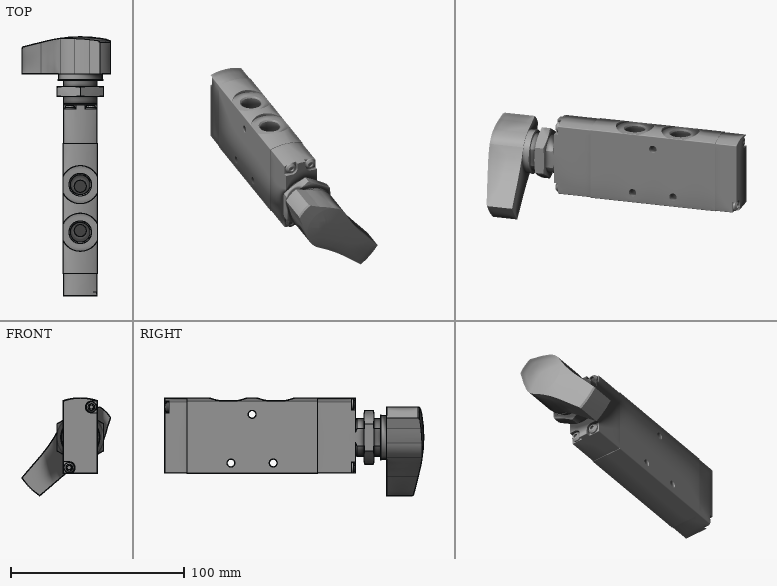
import cadquery as cq
import math


cover_length = 12.9
body_length = 75.3
rear_cover_length = 22.1
neck_length = 14.3
collar_length = 3.7
body_start = cover_length
body_end = body_start + body_length
rear_end = body_end + rear_cover_length
neck_end = rear_end + neck_length
knob_start = neck_end + collar_length
knob_peak = 149.8
body_middle = body_start + body_length / 2

body_width = 20.0
body_bottom = -20.95
body_crown = 22.85
crown_rise = 1.7
edge_round = 0.5
cover_inset = 0.25

port_spacing = 27.5
spotface_diameter = 22.0
port_diameter = 11.45
port_depth = 12.0
port_chamfer = 0.8
channel_diameter = 7.0
channel_depth = 8.0
channel_spacing = 25.6

mount_diameter = 4.4
mount_upper_z = 13.3
mount_lower_z = -14.85
mount_lower_spacing = 24.4

pocket_diameter = 6.8
pocket_depth = 2.4
head_diameter = 5.92
head_height = 2.1
head_chamfer = 1.0
socket_diameter = 2.46
socket_depth = 1.2
front_screw_x = 6.4
front_screw_z = 17.5
rear_screw_x = 6.0
rear_screw_top_z = 19.2
rear_screw_bottom_z = -17.6

neck_diameter = 22.0
neck_root_diameter = 20.38
neck_flats = 19.5
collar_diameter = 25.4
collar_lip_diameter = 26.0
collar_lip_length = 0.4
nut_across_flats = 27.0
nut_start = rear_end + 4.8
nut_thickness = 6.0
nut_bore_chamfer_diameter = 22.7
nut_bevel_angle = 15.0

lever_angle = 45.0
hub_radius = 13.2
short_end = (20.43, 4.45)
short_bend = (14.7, 7.3)
short_flank_bulge = 0.2
long_bend = (-23.6, 8.6)
long_end = (-40.48, 7.32)
hub_short_angle = 60.0
hub_long_angle = 106.0
dome_radius = 75.0
dome_edge_radius = 13.0
tip_chamfer = 0.8
rim_margin = 4.0


def disc(diameter, start, length, x=0.0, z=0.0):
    """Cylinder along +Y from the given Y station."""
    return (
        cq.Workplane("XZ", origin=(0, start, 0))
        .center(x, z)
        .circle(diameter / 2)
        .extrude(-length)
    )


def crowned_block(start, length, inset=0.0):
    """Block along Y with an arched top, shrunk all round by the inset."""
    half = body_width / 2 - inset
    crown = body_crown - inset
    bottom = body_bottom + inset
    shoulder = crown - crown_rise
    return (
        cq.Workplane("XZ", origin=(0, start, 0))
        .moveTo(-half, bottom)
        .lineTo(half, bottom)
        .lineTo(half, shoulder)
        .threePointArc((0, crown), (-half, shoulder))
        .close()
        .extrude(-length)
        .edges("|Y")
        .fillet(edge_round)
    )


def screw_pocket(x, z, floor, outward, open_vertically):
    """Round pocket that breaks out through the nearest side and, if asked, through the top or bottom."""
    reach = body_width
    side = math.copysign(1, x)
    up = math.copysign(1, z)
    depth = outward * pocket_depth
    plane = cq.Workplane("XZ", origin=(0, floor, 0))
    pocket = plane.center(x, z).circle(pocket_diameter / 2).extrude(-depth)
    slot = plane.center(x + side * reach / 2, z).rect(reach, pocket_diameter).extrude(-depth)
    pocket = pocket.union(slot)
    if open_vertically:
        well = plane.center(x, z + up * reach / 2).rect(pocket_diameter, reach).extrude(-depth)
        corner = plane.center(x + side * reach / 2, z + up * reach / 2).rect(reach, reach).extrude(-depth)
        pocket = pocket.union(well).union(corner)
    return pocket


def screw_head(x, z, floor, outward):
    """Bevelled screw head with a socket, standing on the pocket floor."""
    head = disc(head_diameter, floor, outward * head_height, x, z)
    head = head.faces("<Y" if outward < 0 else ">Y").chamfer(head_chamfer)
    socket_floor = floor + outward * (head_height - socket_depth)
    return head.cut(disc(socket_diameter, socket_floor, outward * socket_depth, x, z))


def add_screws(cover, places, floor, outward, open_vertically):
    """Cut a pocket at each place and stand a screw head in it, as part of the cover."""
    for x, z in places:
        cover = cover.cut(screw_pocket(x, z, floor, outward, open_vertically))
        cover = cover.union(screw_head(x, z, floor, outward))
    return cover


def make_body():
    """Valve body with two ports on top and three mounting holes across it."""
    body = crowned_block(body_start, body_length)
    seat_z = body_crown - crown_rise
    seat = cq.Workplane("XY", origin=(0, 0, seat_z))
    for side in (-1, 1):
        port_y = body_middle + side * port_spacing / 2
        channel_y = body_middle + side * channel_spacing / 2
        body = body.cut(seat.center(0, port_y).circle(spotface_diameter / 2).extrude(2 * crown_rise))
        port = seat.center(0, port_y).circle(port_diameter / 2).extrude(-port_depth)
        mouth = (
            seat.center(0, port_y)
            .circle(port_diameter / 2 + port_chamfer)
            .extrude(-port_chamfer, taper=45)
        )
        channel = (
            cq.Workplane("XY", origin=(0, channel_y, seat_z - port_depth))
            .circle(channel_diameter / 2)
            .extrude(-channel_depth)
        )
        body = body.cut(port).cut(mouth).cut(channel)
    mounts = (
        cq.Workplane("YZ", origin=(-body_width, 0, 0))
        .pushPoints([
            (body_middle, mount_upper_z),
            (body_middle - mount_lower_spacing / 2, mount_lower_z),
            (body_middle + mount_lower_spacing / 2, mount_lower_z),
        ])
        .circle(mount_diameter / 2)
        .extrude(2 * body_width)
    )
    return body.cut(mounts)


def make_end_cover():
    """Front cover, held by two screws on opposite corners."""
    cover = crowned_block(0, cover_length, cover_inset)
    places = [(front_screw_x, front_screw_z), (-front_screw_x, -front_screw_z)]
    return add_screws(cover, places, pocket_depth, -1, False)


def make_neck():
    """Neck with two flats and a bevelled root, carrying the lipped collar under the knob."""
    root_bevel = (neck_diameter - neck_root_diameter) / 2
    root = (
        cq.Workplane("XZ", origin=(0, rear_end, 0))
        .circle(neck_root_diameter / 2)
        .workplane(offset=-root_bevel)
        .circle(neck_diameter / 2)
        .loft()
    )
    neck = root.union(disc(neck_diameter, rear_end + root_bevel, neck_length - root_bevel))
    flats = (
        cq.Workplane("XZ", origin=(0, rear_end, 0))
        .rect(neck_flats, 2 * neck_diameter)
        .extrude(-neck_length)
    )
    collar = disc(collar_diameter, neck_end, collar_length)
    lip = disc(collar_lip_diameter, neck_end, collar_lip_length)
    return neck.intersect(flats).union(collar).union(lip)


def hub_point(angle):
    """Point on the hub circle at an angle from the short end of the lever."""
    return (hub_radius * math.cos(math.radians(angle)), hub_radius * math.sin(math.radians(angle)))


def make_knob():
    """Lever knob: hub with a short nose and a long arm, under a dome that runs out to a cone."""
    hub_short = hub_point(hub_short_angle)
    hub_long = hub_point(hub_long_angle)
    hub_middle = hub_point((hub_short_angle + hub_long_angle) / 2)
    flank_middle = (
        (short_bend[0] + hub_short[0]) / 2,
        (short_bend[1] + hub_short[1]) / 2 + short_flank_bulge,
    )
    short_tip = (math.hypot(*short_end), 0)
    long_tip = (-math.hypot(*long_end), 0)
    long_half_angle = math.atan2(long_end[1], -long_end[0]) / 2
    long_quarter = (long_tip[0] * math.cos(long_half_angle), -long_tip[0] * math.sin(long_half_angle))
    short_half_angle = math.atan2(short_end[1], short_end[0]) / 2
    short_quarter = (short_tip[0] * math.cos(short_half_angle), short_tip[0] * math.sin(short_half_angle))

    half = (
        cq.Workplane("XZ", origin=(0, knob_start, 0))
        .moveTo(*long_tip)
        .threePointArc(long_quarter, long_end)
        .lineTo(*long_bend)
        .tangentArcPoint(hub_long, relative=False)
        .threePointArc(hub_middle, hub_short)
        .threePointArc(flank_middle, short_bend)
        .lineTo(*short_end)
        .threePointArc(short_quarter, short_tip)
        .close()
        .extrude(knob_start - knob_peak)
    )
    lever = half.union(half.mirror("XY")).clean().intersect(make_crown())
    for tip in (long_tip, short_tip):
        top_edge = cq.selectors.NearestToPointSelector((tip[0], knob_peak, 0))
        lever = lever.edges(top_edge).chamfer(tip_chamfer)
    return lever.rotate((0, 0, 0), (0, 1, 0), -lever_angle)


def make_crown():
    """Solid under the knob's top: a spherical dome with a cone tangent to it, turned about Y."""
    slope = math.asin(dome_edge_radius / dome_radius)
    dome_edge_y = knob_peak - dome_radius * (1 - math.cos(slope))
    dome_half_x = dome_radius * math.sin(slope / 2)
    dome_half_y = knob_peak - dome_radius * (1 - math.cos(slope / 2))
    rim_radius = math.hypot(*long_end) + rim_margin
    rim_y = dome_edge_y - (rim_radius - dome_edge_radius) * math.tan(slope)
    return (
        cq.Workplane("XY")
        .moveTo(0, knob_start)
        .lineTo(0, knob_peak)
        .threePointArc((dome_half_x, dome_half_y), (dome_edge_radius, dome_edge_y))
        .lineTo(rim_radius, rim_y)
        .lineTo(rim_radius, knob_start)
        .close()
        .revolve(360, (0, 0, 0), (0, 1, 0))
    )


def make_operator():
    """Rear cover with its four corner screws, the neck and the lever knob, all one solid."""
    cover = crowned_block(body_end, rear_cover_length, cover_inset)
    places = [
        (x, z)
        for x in (-rear_screw_x, rear_screw_x)
        for z in (rear_screw_bottom_z, rear_screw_top_z)
    ]
    cover = add_screws(cover, places, rear_end - pocket_depth, 1, True)
    return cover.union(make_neck()).union(make_knob())


def make_nut():
    """Hexagon nut with its corners along Z, bevelled on both faces inside and out."""
    corner_diameter = nut_across_flats / math.cos(math.radians(30))
    blank = (
        cq.Workplane("XZ", origin=(0, nut_start, 0))
        .transformed(rotate=(0, 0, 90))
        .polygon(6, corner_diameter)
        .extrude(-nut_thickness)
    )
    corner_radius = corner_diameter / 2
    face_radius = nut_across_flats / 2
    bevel_slope = math.tan(math.radians(nut_bevel_angle))
    corner_drop = (corner_radius - face_radius) * bevel_slope
    bore_radius = neck_diameter / 2
    mouth_radius = nut_bore_chamfer_diameter / 2
    bore_drop = mouth_radius - bore_radius
    nut_end = nut_start + nut_thickness
    turned = (
        cq.Workplane("XY")
        .polyline([
            (mouth_radius, nut_start),
            (face_radius, nut_start),
            (corner_radius, nut_start + corner_drop),
            (corner_radius, nut_end - corner_drop),
            (face_radius, nut_end),
            (mouth_radius, nut_end),
            (bore_radius, nut_end - bore_drop),
            (bore_radius, nut_start + bore_drop),
        ])
        .close()
        .revolve(360, (0, 0, 0), (0, 1, 0))
    )
    return blank.intersect(turned)


body = make_body()
end_cover = make_end_cover()
operator = make_operator()
nut = make_nut()

result = cq.Compound.makeCompound([body.val(), end_cover.val(), operator.val(), nut.val()])